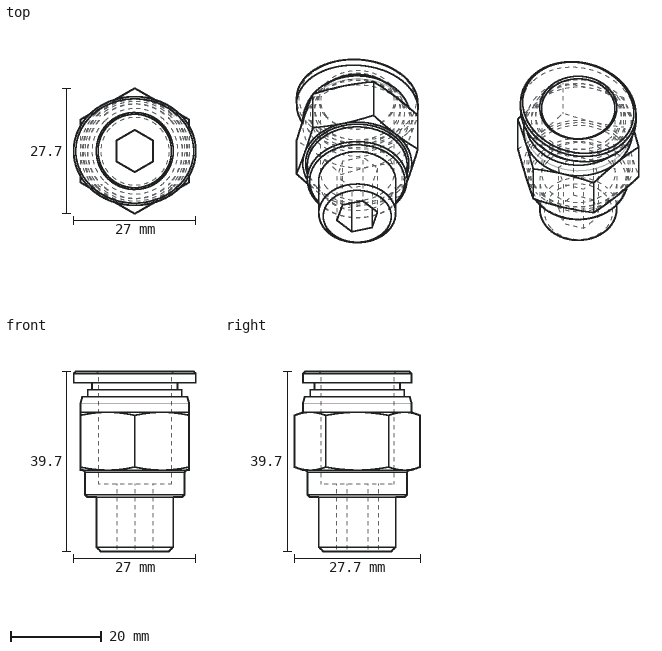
import cadquery as cq
import math

stem_diameter = 17.0
stem_chamfer = 1.0
collar_diameter = 22.0
collar_bottom_z = 12.0
collar_chamfer = 0.5
collar_top_z = 17.5

hex_sides = 6
hex_across_flats = 24.0
hex_bottom_z = 17.95
hex_top_z = 30.7
hex_chamfer_angle = 20.0
underside_diameter = 22.8

head_shoulder_z = 32.7
head_top_z = 34.15
head_top_diameter = 23.2
ring_diameter = 20.8
ring_top_z = 35.7

sleeve_diameter = 18.9
flange_length = 27.0
flange_width = 24.0
flange_bottom_z = 37.2
flange_chamfer = 0.5
overall_height = 39.7

bore_diameter = 16.2
bore_depth = 24.7
bore_chamfer = 0.4
socket_across_flats = 8.0


def hexagon(across_flats, bottom_z, top_z):
    """Hexagonal prism with two flats facing +X and -X."""
    half_side_angle = 360 / hex_sides / 2
    corner_diameter = across_flats / math.cos(math.radians(half_side_angle))
    prism = cq.Workplane("XY").polygon(hex_sides, corner_diameter).extrude(top_z - bottom_z)
    return prism.rotate((0, 0, 0), (0, 0, 1), half_side_angle).translate((0, 0, bottom_z))


def cylinder(diameter, bottom_z, top_z):
    return cq.Workplane("XY", origin=(0, 0, bottom_z)).circle(diameter / 2).extrude(top_z - bottom_z)


def cone(bottom_diameter, top_diameter, bottom_z, top_z):
    return (
        cq.Workplane("XY", origin=(0, 0, bottom_z))
        .circle(bottom_diameter / 2)
        .workplane(offset=top_z - bottom_z)
        .circle(top_diameter / 2)
        .loft(ruled=True)
    )


def make_stem():
    return cylinder(stem_diameter, 0, collar_bottom_z).faces("<Z").chamfer(stem_chamfer)


def make_collar():
    collar = cylinder(collar_diameter, collar_bottom_z, collar_top_z)
    collar = collar.faces("<Z").chamfer(collar_chamfer)
    flare = cone(collar_diameter, underside_diameter, collar_top_z, hex_bottom_z)
    return collar.union(flare)


def make_hex_nut():
    """Hexagon whose corners are trimmed by a cone at each end."""
    flat_radius = hex_across_flats / 2
    trim_radius = hex_across_flats
    trim_drop = (trim_radius - flat_radius) * math.tan(math.radians(hex_chamfer_angle))
    trim = (
        cq.Workplane("XZ")
        .moveTo(0, hex_bottom_z)
        .lineTo(flat_radius, hex_bottom_z)
        .lineTo(trim_radius, hex_bottom_z + trim_drop)
        .lineTo(trim_radius, hex_top_z - trim_drop)
        .lineTo(flat_radius, hex_top_z)
        .lineTo(0, hex_top_z)
        .close()
        .revolve(360, (0, 0, 0), (0, 1, 0))
    )
    return hexagon(hex_across_flats, hex_bottom_z, hex_top_z).intersect(trim)


def make_head():
    """Round head with a tapered top, then the smaller ring above it."""
    head = cylinder(hex_across_flats, hex_top_z, head_shoulder_z)
    taper = cone(hex_across_flats, head_top_diameter, head_shoulder_z, head_top_z)
    return head.union(taper).union(cylinder(ring_diameter, head_top_z, ring_top_z))


def make_sleeve():
    neck = cylinder(sleeve_diameter, ring_top_z, flange_bottom_z)
    flange = (
        cq.Workplane("XY", origin=(0, 0, flange_bottom_z))
        .ellipse(flange_length / 2, flange_width / 2)
        .extrude(overall_height - flange_bottom_z)
        .faces(">Z")
        .chamfer(flange_chamfer)
    )
    return neck.union(flange)


def make_bore():
    """Cutter for the tube bore, widened at its mouth."""
    bore = cylinder(bore_diameter, overall_height - bore_depth, overall_height)
    mouth_diameter = bore_diameter + 2 * bore_chamfer
    mouth = cone(bore_diameter, mouth_diameter, overall_height - bore_chamfer, overall_height)
    return bore.union(mouth)


body = make_stem().union(make_collar()).union(make_hex_nut()).union(make_head()).union(make_sleeve())
socket = hexagon(socket_across_flats, 0, overall_height)
result = body.cut(make_bore()).cut(socket)